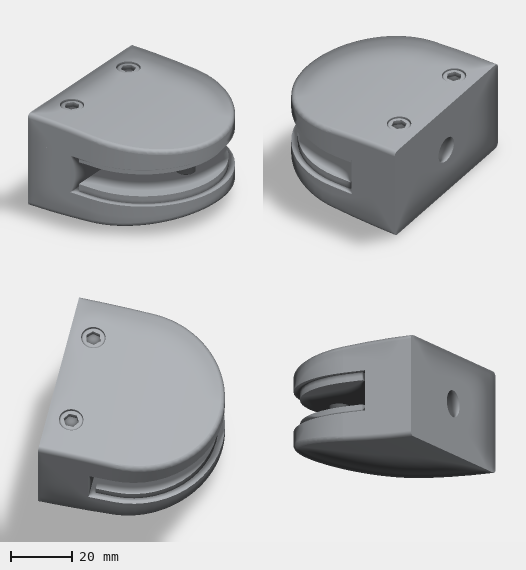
import cadquery as cq
import math


width = 60.0
nose_radius = width / 2
straight_length = 25.0
length = straight_length + nose_radius
height = 34.0
mid_height = height / 2

crown_radius = 300.0
edge_fillet = 1.5

slot_height = 13.5
slot_floor = mid_height - slot_height / 2
slot_roof = mid_height + slot_height / 2
slot_start = 17.0
pad_start = 18.9
pad_inset = 2.1
pad_thickness = 2.7

back_hole_diameter = 9.0

pin_diameter = 6.5
pin_x = 42.0
pin_length = slot_height - 2 * pad_thickness
pin_chamfer = 0.1

screw_x = 8.0
screw_spacing = 32.0
screw_offset = -0.3
recess_diameter = 8.0
head_diameter = 7.8
head_fillet = 0.6
head_depth = 0.5
socket_corner_diameter = 5.15
socket_depth = 1.7
socket_turns = {-1: -2.0, 1: -13.5}


def d_prism(start, inset, bottom, top):
    """D-shaped prism, flat at X = start, with its sides and nose set in from the outer outline."""
    radius = nose_radius - inset
    return (
        cq.Workplane("XY", origin=(0, 0, bottom))
        .moveTo(start, -radius)
        .lineTo(straight_length, -radius)
        .threePointArc((straight_length + radius, 0), (straight_length, radius))
        .lineTo(start, radius)
        .close()
        .extrude(top - bottom)
    )


def crown_drop(x):
    """Distance that the crowned face has fallen at x."""
    return crown_radius - math.sqrt(crown_radius**2 - x**2)


def make_shell():
    """Outer form of the closed clamp: crowned on both faces and rounded along the crowned edges."""
    side_profile = (
        cq.Workplane("XZ", origin=(0, nose_radius, 0))
        .moveTo(0, 0)
        .threePointArc((length / 2, crown_drop(length / 2)), (length, crown_drop(length)))
        .lineTo(length, height - crown_drop(length))
        .threePointArc((length / 2, height - crown_drop(length / 2)), (0, height))
        .close()
        .extrude(width)
    )
    shell = d_prism(0, 0, 0, height).intersect(side_profile)
    rounded_edges = shell.faces("not(#Z or |X or |Y)").edges("not(|Y or |Z)")
    return rounded_edges.fillet(edge_fillet)


def make_base(shell):
    """Lower jaw with the back wall, its round hole and the lower pad."""
    base = shell.intersect(d_prism(0, 0, 0, slot_roof))
    slot = cq.Workplane("XY", origin=(slot_start, 0, slot_floor)).box(
        length, width, slot_height, centered=(False, True, False)
    )
    back_hole = (
        cq.Workplane("YZ", origin=(0, 0, mid_height)).circle(back_hole_diameter / 2).extrude(slot_start)
    )
    pad = d_prism(pad_start, pad_inset, slot_floor, slot_floor + pad_thickness)
    return base.cut(slot).cut(back_hole).union(pad)


def add_screw_head(cover, side):
    """Sink a round-edged screw head with a hexagon socket into the cover."""
    head_top = height - head_depth
    center = (screw_x, screw_offset + side * screw_spacing / 2)
    recess_floor = head_top - head_fillet
    recess = (
        cq.Workplane("XY", origin=(*center, recess_floor))
        .circle(recess_diameter / 2)
        .extrude(height - recess_floor)
    )
    head = (
        cq.Workplane("XY", origin=(*center, slot_roof))
        .circle(head_diameter / 2)
        .extrude(head_top - slot_roof)
        .faces(">Z")
        .edges()
        .fillet(head_fillet)
    )
    socket = (
        cq.Workplane("XY", origin=(*center, head_top - socket_depth))
        .transformed(rotate=(0, 0, socket_turns[side]))
        .polygon(6, socket_corner_diameter)
        .extrude(socket_depth)
    )
    return cover.cut(recess).union(head).cut(socket)


def make_cover(shell):
    """Upper jaw with the upper pad and two sunk screw heads."""
    cover = shell.intersect(d_prism(0, 0, slot_roof, height))
    cover = cover.union(d_prism(pad_start, pad_inset, slot_roof - pad_thickness, slot_roof))
    for side in socket_turns:
        cover = add_screw_head(cover, side)
    return cover


def make_pin():
    """Pin standing between the pads, with both ends chamfered."""
    return (
        cq.Workplane("XY", origin=(pin_x, 0, slot_floor + pad_thickness))
        .circle(pin_diameter / 2)
        .extrude(pin_length)
        .faces("|Z")
        .edges()
        .chamfer(pin_chamfer)
    )


clamp_shell = make_shell()
base = make_base(clamp_shell)
cover = make_cover(clamp_shell)
pin = make_pin()

result = cq.Compound.makeCompound([base.val(), cover.val(), pin.val()])